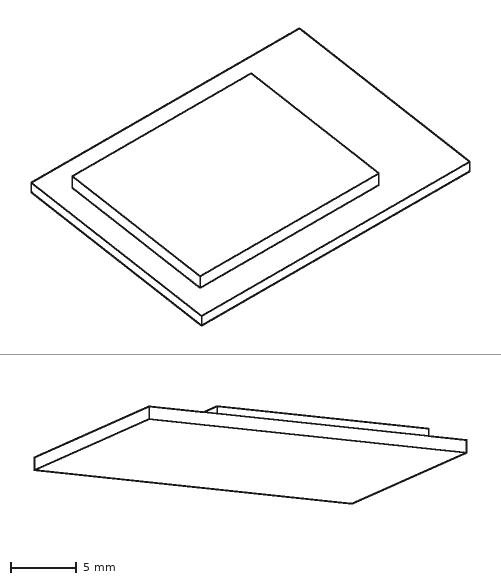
import cadquery as cq

board_width = 20.0
board_length = 27.0
board_thickness = 1.0

overall_height = 2.2
block_width = 15.0
block_length = 18.0
block_front_margin = 2.0

block_height = overall_height - board_thickness
block_center_y = -board_length / 2 + block_front_margin + block_length / 2


def make_board():
    """Flat board centred on the origin, with its underside at Z = 0."""
    return cq.Workplane("XY").box(
        board_width, board_length, board_thickness, centered=(True, True, False)
    )


def make_block():
    """Rectangular block standing on the top face of the board."""
    return (
        cq.Workplane("XY", origin=(0, block_center_y, board_thickness))
        .box(block_width, block_length, block_height, centered=(True, True, False))
    )


result = make_board().union(make_block())